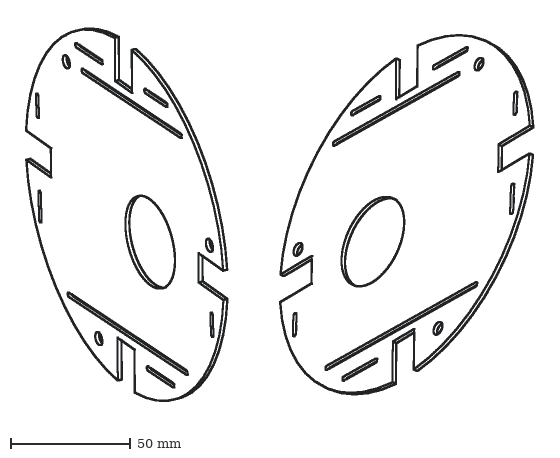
import cadquery as cq
import math

disc_radius = 80.0
thickness = 2.0

notch_count = 4
notch_width = 13.6
notch_floor_radius = 59.7
notch_turn = 0.89

pattern_turn = 2.5

mount_count = 3
mount_diameter = 5.6
mount_pitch_radius = 70.0
mount_first_angle = 10.0

opening_diameter = 40.0
opening_center = (20.35, -4.75)

slot_width = 2.0
long_slot_offset = 54.5
outer_slot_offset = 64.5
side_slot_offset = 69.5
upper_long_span = (-32.5, 48.5)
lower_long_span = (-48.5, 48.5)
wide_span = (15.0, 37.25)
narrow_span = (18.6, 37.25)
side_short_span = (18.7, 29.7)
side_tall_span = (-29.5, -15.0)


def through_plate(outline):
    """Solid as thick as the plate from an outline in the XZ plane, centred on Y = 0."""
    return outline.extrude(thickness / 2, both=True)


def turned(solid, angle):
    """Turn a solid about the disc axis, positive from +X towards +Z."""
    return solid.rotate((0, 0, 0), (0, -1, 0), angle)


def make_disc():
    return through_plate(cq.Workplane("XZ").circle(disc_radius))


def make_notches():
    cutter_length = 2 * (disc_radius - notch_floor_radius)
    notch = through_plate(cq.Workplane("XZ").center(disc_radius, 0).rect(cutter_length, notch_width))
    return [turned(notch, notch_turn + i * 360 / notch_count) for i in range(notch_count)]


def make_mount_holes():
    angles = [math.radians(mount_first_angle + i * 360 / mount_count) for i in range(mount_count)]
    centers = [(mount_pitch_radius * math.cos(a), mount_pitch_radius * math.sin(a)) for a in angles]
    return through_plate(cq.Workplane("XZ").pushPoints(centers).circle(mount_diameter / 2))


def make_opening():
    return through_plate(cq.Workplane("XZ").center(*opening_center).circle(opening_diameter / 2))


def make_slot(span, offset, upright=False):
    """Slot over `span`, lying at height `offset`, or standing at x = `offset` if upright."""
    start, end = span
    middle = (start + end) / 2
    center = (offset, middle) if upright else (middle, offset)
    direction = 90 if upright else 0
    return through_plate(cq.Workplane("XZ").center(*center).slot2D(end - start, slot_width, direction))


def mirrored(span):
    """The same span on the other side of the disc centre."""
    start, end = span
    return (-end, -start)


def make_slots():
    return [
        make_slot(upper_long_span, long_slot_offset),
        make_slot(lower_long_span, -long_slot_offset),
        make_slot(narrow_span, outer_slot_offset),
        make_slot(mirrored(wide_span), outer_slot_offset),
        make_slot(wide_span, -outer_slot_offset),
        make_slot(side_short_span, -side_slot_offset, upright=True),
        make_slot(side_tall_span, -side_slot_offset, upright=True),
        make_slot(mirrored(side_short_span), side_slot_offset, upright=True),
    ]


plate = make_disc()
for notch in make_notches():
    plate = plate.cut(notch)
for cutter in [make_mount_holes(), make_opening()] + make_slots():
    plate = plate.cut(turned(cutter, pattern_turn))

result = plate